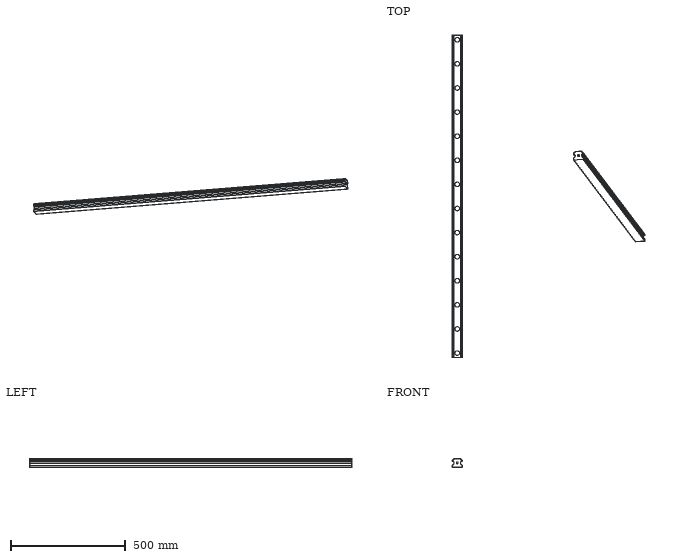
import cadquery as cq
import math

width = 45.0
length = 1405.0
height = 38.0
half_width = width / 2

top_half_width = 14.5
head_shoulder_z = 29.5
head_lower_z = 26.5
neck_half_width = 14.5
neck_top_z = 22.0
neck_bottom_z = 15.5
base_shoulder_z = 7.5
base_chamfer = 1.5

upper_groove_outer_lip = (19.5, 33.0)
upper_groove_inner_lip = (15.5, 37.0)
upper_groove_depth = 2.5
lower_groove_inner_lip = (17.0, 23.5)
lower_groove_outer_lip = (21.0, 25.7)
lower_groove_depth = 1.0

hole_count = 14
hole_pitch = 105.0
first_hole_offset = (length - (hole_count - 1) * hole_pitch) / 2
hole_diameter = 20.0
cap_recess = 0.2

end_hole_diameter = 8.0
end_hole_depth = 10.0
end_hole_z = height / 2


def groove_floor_point(start, end, depth):
    """Deepest point of a groove, left of the direction from its start lip to its end lip."""
    chord_x = end[0] - start[0]
    chord_z = end[1] - start[1]
    chord = math.hypot(chord_x, chord_z)
    middle_x = (start[0] + end[0]) / 2
    middle_z = (start[1] + end[1]) / 2
    return (middle_x - depth * chord_z / chord, middle_z + depth * chord_x / chord)


def make_rail_body():
    """Half section mirrored about the YZ plane and extruded along Y, centred about Y = 0."""
    lower_groove_floor = groove_floor_point(
        lower_groove_inner_lip, lower_groove_outer_lip, lower_groove_depth
    )
    upper_groove_floor = groove_floor_point(
        upper_groove_outer_lip, upper_groove_inner_lip, upper_groove_depth
    )
    half_section = (
        cq.Workplane("XZ")
        .lineTo(half_width - base_chamfer, 0)
        .lineTo(half_width, base_chamfer)
        .lineTo(half_width, base_shoulder_z)
        .lineTo(neck_half_width, neck_bottom_z)
        .lineTo(neck_half_width, neck_top_z)
        .lineTo(*lower_groove_inner_lip)
        .threePointArc(lower_groove_floor, lower_groove_outer_lip)
        .lineTo(half_width, head_lower_z)
        .lineTo(half_width, head_shoulder_z)
        .lineTo(*upper_groove_outer_lip)
        .threePointArc(upper_groove_floor, upper_groove_inner_lip)
        .lineTo(top_half_width, height)
        .lineTo(0, height)
        .mirrorY()
    )
    return half_section.extrude(length / 2, both=True)


def make_mounting_recesses():
    """Row of shallow round recesses sunk from the top face."""
    first_y = -length / 2 + first_hole_offset
    centres = [(0, first_y + index * hole_pitch) for index in range(hole_count)]
    top_plane = cq.Workplane("XY").workplane(offset=height)
    return top_plane.pushPoints(centres).circle(hole_diameter / 2).extrude(-cap_recess)


def make_end_hole(inward):
    """Blind hole along Y from one end face; inward is +1 at the -Y end and -1 at the +Y end."""
    start = cq.Vector(0, -inward * length / 2, end_hole_z)
    direction = cq.Vector(0, inward, 0)
    return cq.Solid.makeCylinder(end_hole_diameter / 2, end_hole_depth, start, direction)


result = make_rail_body().cut(make_mounting_recesses())
for inward in (1, -1):
    result = result.cut(make_end_hole(inward))